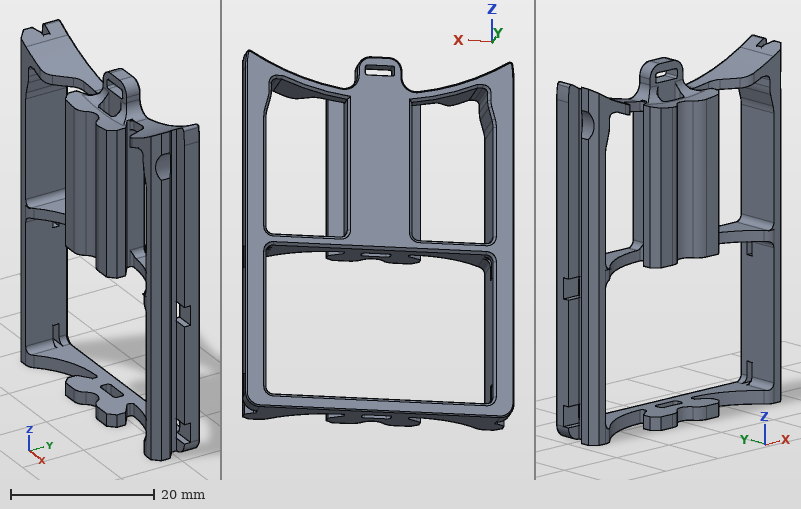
import cadquery as cq
import math


HALF_WIDTH = 19.0
DEPTH = 7.06
HEIGHT = 51.43
BACK_CHAMFER = 0.2
CHAMFER_ANGLE = 45

RAIL_INNER_X = 16.07
FLANGE_DEPTH = 2.6
FLANGE_BOTTOM_RADIUS = 2.0
FLANGE_TOP_RADIUS = 13.0
FLANGE_TOP_LENGTH = 2.5
FLANGE_TIP_RADIUS = 0.4
GROOVE_X = 16.93
GROOVE_FRONT_DEPTH = 3.65
BEAD_X = 18.4
BEAD_CHAMFER = 1.05
BEAD_BACK_DEPTH = 4.6
BEAD_BACK_X = 17.25

BAR_DEPTH = 2.27
BAR_ROUND_RADIUS = 1.8
BOTTOM_BAR_TOP = 1.97
MIDDLE_BAR_BOTTOM = 23.45
MIDDLE_BAR_TOP = 25.07
WINDOW_FILLET = 1.0
WINDOW_BACK_CHAMFER = 0.4

NECK_X = 4.57
NECK_DEPTH = 3.15
NECK_FILLET = 0.4
BLOCK_X = 6.57
BLOCK_CHAMFER = 1.05
BLOCK_GROOVE_START_X = 3.25
BLOCK_GROOVE_DEPTH = 5.27
BLOCK_GROOVE_RADIUS = 1.8

ARCH_RADIUS = 34.1
ARCH_LOW_Z = 46.08
ARCH_THICKNESS = 1.4
ARCH_END_X = 16.03
ARCH_END_SLOPE = 0.57
GUSSET_ANGLE = math.radians(60)
GUSSET_START_X = 12.3
GUSSET_RADIUS = 2.0

THICK_RAIL_X = 15.3
THICK_RAIL_BOTTOM = 45.2
THICK_RAIL_TAPER_END = 42.4
THICK_RAIL_FILLET = 0.7
THICK_RAIL_TAPER_RADIUS = 4.0
ARCH_UNDERSIDE_MAX_Z = 47.5
DIMPLE_Z = 46.1
DIMPLE_X = 17.82
DIMPLE_RADIUS = 3.7

RAIL_SLOT_HEIGHT = 3.05
RAIL_SLOT_BACK_DEPTH = 1.6

TAB_X = 3.14
TAB_TOP = 51.25
TAB_CORNER_RADIUS = 1.9
TAB_DEPTH = 2.34
TAB_FILLET = 2.0
EYE_X = 2.06
EYE_BOTTOM = 48.56
EYE_TOP = 50.0
EYE_FILLET = 0.3

SLOT_X = 2.07
SLOT_LENGTH = 1.6
SLOT_FILLET = 0.5
BOTTOM_SLOT_BACK_DEPTH = 2.0

ARCH_CENTER_Z = ARCH_LOW_Z + ARCH_RADIUS
SADDLE_START_X = NECK_X + NECK_FILLET
SADDLE_SPAN = RAIL_INNER_X - SADDLE_START_X
SADDLE_RISE = DEPTH - BAR_DEPTH
SADDLE_RADIUS = (SADDLE_SPAN**2 + SADDLE_RISE**2) / (2 * SADDLE_RISE) - BAR_ROUND_RADIUS
SADDLE_CENTER = (SADDLE_START_X, BAR_DEPTH + SADDLE_RADIUS)

TRIM_ALLOWANCE = 0.5
OVERSIZE = 10.0


def on_circle(center, radius, angle):
    """Point on a circle, with the angle in radians from the first axis."""
    return (center[0] + radius * math.cos(angle), center[1] + radius * math.sin(angle))


def angle_to(center, point):
    return math.atan2(point[1] - center[1], point[0] - center[0])


def arc_through(outline, center, radius, end_angle, start_angle):
    """Add an arc from the current point, which lies at start_angle, to end_angle."""
    middle = on_circle(center, radius, (start_angle + end_angle) / 2)
    return outline.threePointArc(middle, on_circle(center, radius, end_angle))


def arch_z(x, radius=ARCH_RADIUS):
    """Height of a circle about the arch centre at the given x."""
    return ARCH_CENTER_Z - math.sqrt(radius**2 - x**2)


def section_plane(z=0.0):
    """Horizontal sketch plane whose local axes are X and depth; extrude negatively to go up."""
    return cq.Workplane(cq.Plane(origin=(0, 0, z), xDir=(1, 0, 0), normal=(0, 0, -1)))


def front_plane(depth=0.0):
    """Upright sketch plane with local axes X and Z; extruding goes forward."""
    return cq.Workplane("XZ", origin=(0, -depth, 0))


def start_frame_section(plane, join_angle):
    """Begin a frame section with the fillet at the neck and the saddle arc up to join_angle."""
    fillet_end = BAR_DEPTH + NECK_FILLET
    fillet_center = (SADDLE_START_X, fillet_end)
    outline = plane.moveTo(0, fillet_end).lineTo(NECK_X, fillet_end)
    outline = arc_through(outline, fillet_center, NECK_FILLET, -math.pi / 2, -math.pi)
    return arc_through(outline, SADDLE_CENTER, SADDLE_RADIUS, join_angle, -math.pi / 2)


def close_frame_section(outline):
    """Finish a frame section from the rail front around the bead and groove to the centre back."""
    return (
        outline.lineTo(BEAD_X - BEAD_CHAMFER, DEPTH)
        .lineTo(BEAD_X, DEPTH - BEAD_CHAMFER)
        .lineTo(BEAD_X, BEAD_BACK_DEPTH)
        .lineTo(BEAD_BACK_X, GROOVE_FRONT_DEPTH)
        .lineTo(GROOVE_X, GROOVE_FRONT_DEPTH)
        .lineTo(GROOVE_X, 0)
        .lineTo(0, 0)
        .close()
    )


def bar_frame():
    """Rail and crossbar section below the arch."""
    round_center = (RAIL_INNER_X, DEPTH - BAR_ROUND_RADIUS)
    join_angle = angle_to(SADDLE_CENTER, round_center)
    outline = start_frame_section(section_plane(), join_angle)
    outline = arc_through(outline, round_center, BAR_ROUND_RADIUS, math.pi / 2, join_angle + math.pi)
    return close_frame_section(outline).extrude(-MIDDLE_BAR_TOP)


def arch_frame():
    """Rail and arch section, where a sloping gusset thickens the arch toward the rail."""
    along = (math.cos(GUSSET_ANGLE), math.sin(GUSSET_ANGLE))
    outward = (-along[1], along[0])
    top_center = (GUSSET_START_X, DEPTH - GUSSET_RADIUS)
    slope_end = (
        top_center[0] + GUSSET_RADIUS * outward[0],
        top_center[1] + GUSSET_RADIUS * outward[1],
    )
    offset = (
        slope_end[0] + GUSSET_RADIUS * outward[0] - SADDLE_CENTER[0],
        slope_end[1] + GUSSET_RADIUS * outward[1] - SADDLE_CENTER[1],
    )
    projection = offset[0] * along[0] + offset[1] * along[1]
    offset_squared = offset[0] ** 2 + offset[1] ** 2
    reach = (SADDLE_RADIUS - GUSSET_RADIUS) ** 2
    travel = -projection - math.sqrt(projection**2 - offset_squared + reach)
    lower_center = (
        SADDLE_CENTER[0] + offset[0] + travel * along[0],
        SADDLE_CENTER[1] + offset[1] + travel * along[1],
    )
    join_angle = angle_to(SADDLE_CENTER, lower_center)
    slope_angle = GUSSET_ANGLE - math.pi / 2

    outline = start_frame_section(section_plane(MIDDLE_BAR_TOP), join_angle)
    outline = arc_through(outline, lower_center, GUSSET_RADIUS, slope_angle, join_angle)
    outline = outline.lineTo(*slope_end)
    outline = arc_through(outline, top_center, GUSSET_RADIUS, math.pi / 2, slope_angle + math.pi)
    return close_frame_section(outline).extrude(MIDDLE_BAR_TOP - HEIGHT - TRIM_ALLOWANCE)


def flange():
    """Back flange with a rounded bottom corner and a long, slight round at the top."""
    bottom_center = (HALF_WIDTH - FLANGE_BOTTOM_RADIUS, FLANGE_BOTTOM_RADIUS)
    top_center = (HALF_WIDTH - FLANGE_TOP_RADIUS, HEIGHT - FLANGE_TOP_LENGTH)
    top_angle = math.asin((FLANGE_TOP_LENGTH + TRIM_ALLOWANCE) / FLANGE_TOP_RADIUS)
    outline = front_plane().moveTo(RAIL_INNER_X, 0).lineTo(bottom_center[0], 0)
    outline = arc_through(outline, bottom_center, FLANGE_BOTTOM_RADIUS, 0, -math.pi / 2)
    outline = outline.lineTo(HALF_WIDTH, top_center[1])
    outline = arc_through(outline, top_center, FLANGE_TOP_RADIUS, top_angle, 0)
    return outline.lineTo(RAIL_INNER_X, HEIGHT + TRIM_ALLOWANCE).close().extrude(FLANGE_DEPTH)


def flare_back(window):
    """Widen a window cutter at the back, which leaves a chamfer around the opening."""
    opening = window.faces(">Y").val().outerWire()
    mouth = opening.offset2D(WINDOW_BACK_CHAMFER, "intersection")[0]
    inward = cq.Vector(0, -WINDOW_BACK_CHAMFER, 0)
    return window.union(cq.Workplane(obj=cq.Solid.extrudeLinear(mouth, [], inward, CHAMFER_ANGLE)))


def lower_window():
    height = MIDDLE_BAR_BOTTOM - BOTTOM_BAR_TOP
    window = (
        front_plane()
        .center(0, BOTTOM_BAR_TOP + height / 2)
        .rect(2 * RAIL_INNER_X, height)
        .extrude(DEPTH)
        .edges("|Y")
        .fillet(WINDOW_FILLET)
    )
    return flare_back(window)


def upper_window():
    """Opening between the block neck and the rail, with the arch above it."""
    radius = ARCH_RADIUS + ARCH_THICKNESS
    end_x = math.sqrt(radius**2 - (ARCH_CENTER_Z - ARCH_UNDERSIDE_MAX_Z) ** 2)
    middle_x = (NECK_X + end_x) / 2
    window = (
        front_plane()
        .moveTo(NECK_X, MIDDLE_BAR_TOP)
        .lineTo(RAIL_INNER_X, MIDDLE_BAR_TOP)
        .lineTo(RAIL_INNER_X, THICK_RAIL_TAPER_END)
        .lineTo(THICK_RAIL_X, THICK_RAIL_BOTTOM)
        .lineTo(THICK_RAIL_X, ARCH_UNDERSIDE_MAX_Z)
        .lineTo(end_x, ARCH_UNDERSIDE_MAX_Z)
        .threePointArc((middle_x, arch_z(middle_x, radius)), (NECK_X, arch_z(NECK_X, radius)))
        .close()
        .extrude(DEPTH)
    )
    top_corner = cq.NearestToPointSelector((THICK_RAIL_X, -DEPTH / 2, ARCH_UNDERSIDE_MAX_Z))
    window = window.edges("|Y").edges(top_corner).fillet(THICK_RAIL_FILLET)
    for taper_end in ((THICK_RAIL_X, THICK_RAIL_BOTTOM), (RAIL_INNER_X, THICK_RAIL_TAPER_END)):
        taper_edge = cq.NearestToPointSelector((taper_end[0], -DEPTH / 2, taper_end[1]))
        window = window.edges("|Y").edges(taper_edge).fillet(THICK_RAIL_TAPER_RADIUS)
    window = window.faces("<Z").edges("|Y").fillet(WINDOW_FILLET)
    return flare_back(window)


def block(bottom, top):
    """Length of the central block: a neck, two chamfered lobes and a round groove in front."""
    back_depth = BAR_DEPTH / 2
    rise = DEPTH - BLOCK_GROOVE_DEPTH
    radius_sum = (BLOCK_GROOVE_START_X**2 + rise**2) / (2 * rise)
    lobe_radius = radius_sum - BLOCK_GROOVE_RADIUS
    groove_center = (0, BLOCK_GROOVE_DEPTH + BLOCK_GROOVE_RADIUS)
    lobe_center = (BLOCK_GROOVE_START_X, DEPTH - lobe_radius)
    join_angle = angle_to(groove_center, lobe_center)
    outline = section_plane(bottom).moveTo(0, BLOCK_GROOVE_DEPTH)
    outline = arc_through(outline, groove_center, BLOCK_GROOVE_RADIUS, join_angle, -math.pi / 2)
    outline = arc_through(outline, lobe_center, lobe_radius, math.pi / 2, join_angle + math.pi)
    return (
        outline.lineTo(BLOCK_X - BLOCK_CHAMFER, DEPTH)
        .lineTo(BLOCK_X, DEPTH - BLOCK_CHAMFER)
        .lineTo(BLOCK_X, BEAD_BACK_DEPTH)
        .lineTo(NECK_X, NECK_DEPTH)
        .lineTo(NECK_X, back_depth)
        .lineTo(0, back_depth)
        .close()
        .extrude(bottom - top)
    )


def space_above_arch():
    """Everything above the arch: a round edge that runs on straight past ARCH_END_X."""
    end_z = arch_z(ARCH_END_X)
    outer_x = HALF_WIDTH + OVERSIZE
    top_z = end_z + ARCH_END_SLOPE * (outer_x - ARCH_END_X)
    middle_x = ARCH_END_X / 2
    return (
        front_plane()
        .moveTo(0, ARCH_LOW_Z)
        .threePointArc((middle_x, arch_z(middle_x)), (ARCH_END_X, end_z))
        .lineTo(outer_x, top_z)
        .lineTo(0, top_z)
        .close()
        .extrude(DEPTH)
    )


def dimple():
    """Round hollow in the side of the bead, in front of the groove."""
    return (
        front_plane(FLANGE_DEPTH)
        .center(DIMPLE_X + DIMPLE_RADIUS, DIMPLE_Z)
        .circle(DIMPLE_RADIUS)
        .extrude(DEPTH - FLANGE_DEPTH)
    )


def rail_slot(bottom):
    """Slot through the rail, long enough to clear the window corner fillet."""
    inner_x = RAIL_INNER_X - WINDOW_FILLET
    slot = cq.Workplane("XY").box(
        HALF_WIDTH - inner_x, FLANGE_DEPTH - RAIL_SLOT_BACK_DEPTH, RAIL_SLOT_HEIGHT, centered=False
    )
    return slot.translate((inner_x, -FLANGE_DEPTH, bottom))


def tab():
    """Half of the eyelet tab, filleted into the arch at its side and into the block in front."""
    inner_radius = ARCH_RADIUS - TAB_FILLET
    flare_x = TAB_X + TAB_FILLET
    flare_center = (flare_x, arch_z(flare_x, inner_radius))
    corner_center = (TAB_X - TAB_CORNER_RADIUS, TAB_TOP - TAB_CORNER_RADIUS)
    flare_end_angle = angle_to((0, ARCH_CENTER_Z), flare_center) + 2 * math.pi
    front_depth = TAB_DEPTH + TAB_FILLET

    outline = front_plane().moveTo(0, TAB_TOP).lineTo(corner_center[0], TAB_TOP)
    outline = arc_through(outline, corner_center, TAB_CORNER_RADIUS, 0, math.pi / 2)
    outline = outline.lineTo(TAB_X, flare_center[1])
    outline = arc_through(outline, flare_center, TAB_FILLET, flare_end_angle, math.pi)
    foot_x = ARCH_RADIUS / inner_radius * flare_x
    outline = outline.threePointArc((foot_x / 2, arch_z(foot_x / 2)), (0, ARCH_LOW_Z))
    flared = outline.close().extrude(front_depth)

    low = (front_depth, ARCH_LOW_Z)
    high = (TAB_DEPTH, ARCH_LOW_Z + TAB_FILLET)
    middle = on_circle((front_depth, high[1]), TAB_FILLET, -3 * math.pi / 4)
    space = (
        cq.Workplane(cq.Plane(origin=(0, 0, 0), xDir=(0, -1, 0), normal=(-1, 0, 0)))
        .moveTo(*low)
        .threePointArc(middle, high)
        .lineTo(TAB_DEPTH, HEIGHT + OVERSIZE)
        .lineTo(front_depth, HEIGHT + OVERSIZE)
        .close()
        .revolve(360, (0, ARCH_CENTER_Z), (1, ARCH_CENTER_Z))
    )
    strap = cq.Workplane("XY").box(HALF_WIDTH, BAR_DEPTH, HEIGHT, centered=False)
    footprint = block(0, HEIGHT).union(strap.translate((0, -BAR_DEPTH, 0)))
    return flared.cut(space).intersect(footprint)


def eye():
    height = EYE_TOP - EYE_BOTTOM
    return (
        front_plane()
        .center(0, EYE_BOTTOM + height / 2)
        .rect(2 * EYE_X, height)
        .extrude(TAB_DEPTH)
        .edges("|Y")
        .fillet(EYE_FILLET)
    )


def vertical_slot(bottom, top, back_depth):
    return (
        section_plane(bottom)
        .center(0, back_depth + SLOT_LENGTH / 2)
        .rect(2 * SLOT_X, SLOT_LENGTH)
        .extrude(bottom - top)
        .edges("|Z")
        .fillet(SLOT_FILLET)
    )


half = bar_frame().union(arch_frame()).union(flange())
half = half.cut(lower_window()).cut(upper_window())
half = half.union(block(0, BOTTOM_BAR_TOP)).union(block(MIDDLE_BAR_BOTTOM, HEIGHT))
half = half.cut(space_above_arch()).cut(dimple())
flange_tip = cq.NearestToPointSelector((HALF_WIDTH, -FLANGE_DEPTH / 2, HEIGHT))
half = half.edges("|Y").edges(flange_tip).fillet(FLANGE_TIP_RADIUS)
for top_of_slot in (BOTTOM_BAR_TOP + RAIL_SLOT_HEIGHT, MIDDLE_BAR_BOTTOM):
    half = half.cut(rail_slot(top_of_slot - RAIL_SLOT_HEIGHT))
half = half.union(tab())

result = half.union(half.mirror("YZ"))
back_outline = cq.Workplane(obj=result.faces(">Y").val().outerWire())
result = result.newObject(back_outline.edges().vals()).chamfer(BACK_CHAMFER)
result = result.cut(eye())
result = result.cut(vertical_slot(0, BOTTOM_BAR_TOP, BOTTOM_SLOT_BACK_DEPTH))
result = result.cut(vertical_slot(MIDDLE_BAR_BOTTOM, HEIGHT, TAB_DEPTH))